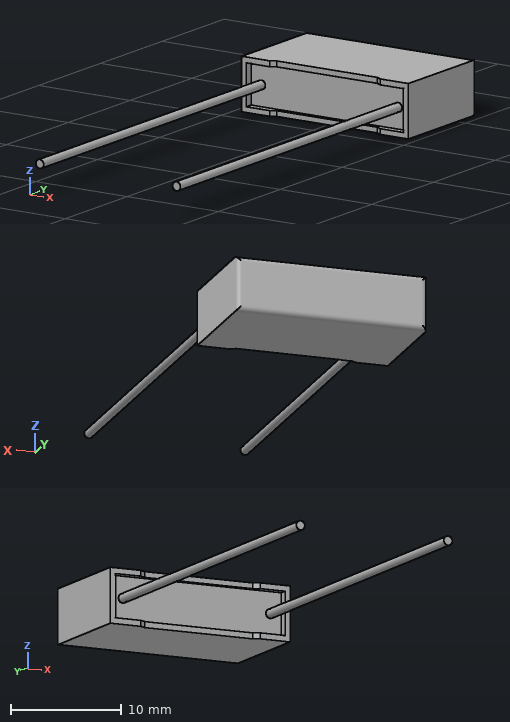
import cadquery as cq

TOTAL_LENGTH = 46.1

CASE_WIDTH = 18.3
CASE_DEPTH = 11.0
CASE_THICKNESS = 5.2
WALL = 0.55
BACK_EDGE_RADIUS = 0.5

RELIEF_DEPTH = 0.3
RELIEF_RIM_WIDTH = 12.12
RELIEF_FLOOR_WIDTH = 11.0

FILL_RECESS = 0.8

LEAD_PITCH = 15.0
LEAD_DIAMETER = 0.88
LEAD_END_Y = CASE_DEPTH - TOTAL_LENGTH

CAVITY_WIDTH = CASE_WIDTH - 2 * WALL
CAVITY_THICKNESS = CASE_THICKNESS - 2 * WALL
CAVITY_END_Y = CASE_DEPTH - WALL


def block(width, thickness, start_y, end_y):
    """Box centred on the Y axis, running from start_y to end_y."""
    length = end_y - start_y
    return cq.Workplane("XY").box(width, length, thickness).translate((0, start_y + length / 2, 0))


def make_case():
    """Open-fronted box with rounded back edges and a relieved rim."""
    outer = block(CASE_WIDTH, CASE_THICKNESS, 0, CASE_DEPTH)
    outer = outer.faces(">Y").edges().fillet(BACK_EDGE_RADIUS)
    cavity = block(CAVITY_WIDTH, CAVITY_THICKNESS, 0, CAVITY_END_Y)
    relief = (
        cq.Workplane("XY")
        .polyline([
            (-RELIEF_RIM_WIDTH / 2, 0),
            (-RELIEF_FLOOR_WIDTH / 2, RELIEF_DEPTH),
            (RELIEF_FLOOR_WIDTH / 2, RELIEF_DEPTH),
            (RELIEF_RIM_WIDTH / 2, 0),
        ])
        .close()
        .extrude(CASE_THICKNESS / 2, both=True)
    )
    return outer.cut(cavity).cut(relief)


def make_filling():
    """Resin block that fills the cavity up to the recessed front face."""
    return block(CAVITY_WIDTH, CAVITY_THICKNESS, FILL_RECESS, CAVITY_END_Y)


def make_lead(x):
    """Straight round wire running forward from the face of the filling."""
    return (
        cq.Workplane("XZ", origin=(x, FILL_RECESS, 0))
        .circle(LEAD_DIAMETER / 2)
        .extrude(FILL_RECESS - LEAD_END_Y)
    )


case = make_case()
filling = make_filling()
leads = [make_lead(side * LEAD_PITCH / 2) for side in (-1, 1)]

result = cq.Compound.makeCompound([case.val(), filling.val(), *[lead.val() for lead in leads]])